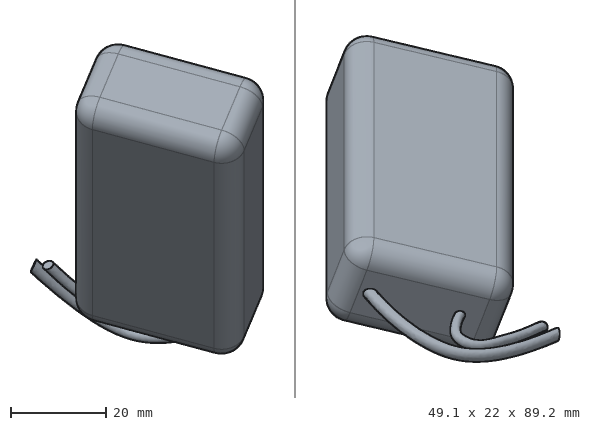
import cadquery as cq

CASE_WIDTH = 37.0
CASE_DEPTH = 22.0
CASE_HEIGHT = 75.0
EDGE_RADIUS = 5.0

LONG_WIRE_DIAMETER = 2.9
LONG_WIRE_PATH = [
    (-30.2, 1.3),
    (-19.5, -8.1),
    (-7.2, -12.85),
    (0.8, -9.9),
    (5.7, -6.0),
    (10.8, 0),
    (12.9, 3.1),
]
LONG_WIRE_END_NORMAL = (3.2, -1)

SHORT_WIRE_DIAMETER = 2.4
SHORT_WIRE_PATH = [
    (-27.0, 2.9),
    (-22.4, -1.7),
    (-17.5, -5.7),
    (-11.1, -8.7),
    (-8.4, -7.3),
    (-7.9, -4.2),
    (-8.8, 0),
    (-10.0, 3.1),
]
SHORT_WIRE_END_NORMAL = (1, -2.7)


def make_case():
    """Block with every edge rounded."""
    block = cq.Workplane("XY").box(CASE_WIDTH, CASE_DEPTH, CASE_HEIGHT, centered=(True, True, False))
    return block.edges().fillet(EDGE_RADIUS)


def make_wire(diameter, path_points, end_normal):
    """Sweep a round free end, set at a slant to the wire, along a smooth centre line."""
    points = [cq.Vector(x, 0, z) for x, z in path_points]
    centre_line = cq.Workplane(cq.Edge.makeSpline(points))
    normal_x, normal_z = end_normal
    free_end = cq.Plane(origin=points[0], xDir=(0, 1, 0), normal=(normal_x, 0, normal_z))
    return cq.Workplane(free_end).circle(diameter / 2).sweep(centre_line)


long_wire = make_wire(LONG_WIRE_DIAMETER, LONG_WIRE_PATH, LONG_WIRE_END_NORMAL)
short_wire = make_wire(SHORT_WIRE_DIAMETER, SHORT_WIRE_PATH, SHORT_WIRE_END_NORMAL)

result = make_case().union(long_wire).union(short_wire)